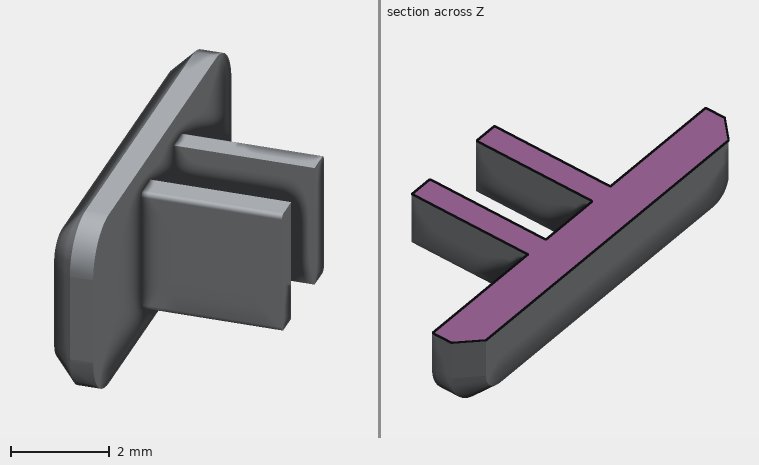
import cadquery as cq

plate_length = 8.9
plate_height = 3.9
plate_thickness = 1.0
corner_radius = 1.0
rim_chamfer = 0.5

total_depth = 4.0
prong_height = 2.7
prong_span = 2.7
prong_thickness = 0.6
prong_edge_radius = 0.1


def make_plate():
    """Rounded rectangular plate with a bevelled outer rim."""
    plate = cq.Workplane("YZ").rect(plate_length, plate_height).extrude(plate_thickness)
    plate = plate.edges("|X").fillet(corner_radius)
    return plate.faces("<X").edges().chamfer(rim_chamfer)


def make_prong(side):
    """Flat prong on the +Y (side = 1) or -Y (side = -1) half, outer long edges rounded."""
    center_y = side * (prong_span - prong_thickness) / 2
    prong_length = total_depth - plate_thickness
    prong = (
        cq.Workplane("YZ", origin=(plate_thickness, center_y, 0))
        .rect(prong_thickness, prong_height)
        .extrude(prong_length)
    )
    outer_face = ">Y" if side > 0 else "<Y"
    return prong.faces(outer_face).edges("|X").fillet(prong_edge_radius)


result = make_plate()
for side in (-1, 1):
    result = result.union(make_prong(side))